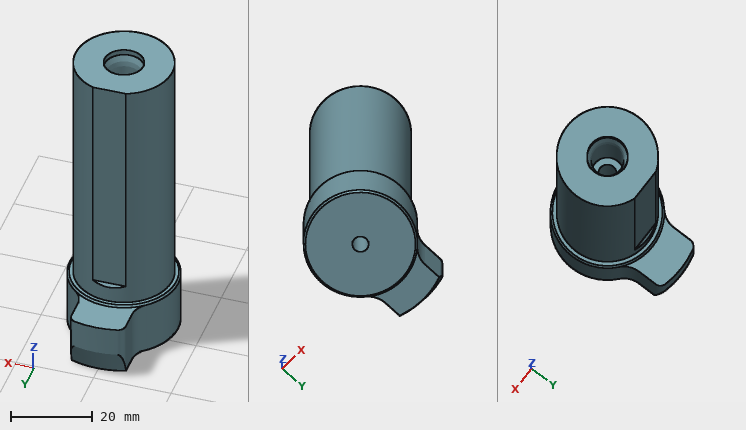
import cadquery as cq
import math

TOTAL_HEIGHT = 80.0
SHAFT_RADIUS = 25.0 / 2

COLLAR_RADIUS = 28.0 / 2
COLLAR_HEIGHT = 15.0
COLLAR_CHAMFER = 0.5

FLAT_Y = 11.75
FLAT_START_Z = 20.0

LUG_HALF_WIDTH = 7.0
LUG_TIP_RADIUS = 22.93
LUG_CORNER_RADIUS = 2.0
LUG_ROOT_RADIUS = 6.0
LUG_BOTTOM_Z = COLLAR_CHAMFER
LUG_TOP_Z = COLLAR_HEIGHT - COLLAR_CHAMFER
LUG_TAPER_TOP_Z = 6.8
LUG_TAPER_ANGLE = math.radians(15.0)

MOUTH_RADIUS = 10.0 / 2
MOUTH_DEPTH = 1.5
WIDE_CONE_END_RADIUS = 8.5 / 2
WIDE_CONE_END_DEPTH = 3.0
BORE_RADIUS = 8.0 / 2
BORE_START_DEPTH = 4.3
BORE_END_DEPTH = 20.0
GUIDE_RADIUS = 4.5 / 2
GUIDE_END_DEPTH = 40.0
THROUGH_RADIUS = 4.0 / 2


def make_collar():
    """Disc chamfered on both rims."""
    collar = cq.Workplane("XY").circle(COLLAR_RADIUS).extrude(COLLAR_HEIGHT)
    return collar.edges().chamfer(COLLAR_CHAMFER)


def make_shaft():
    """Round shaft with a flat that runs out at 45 degrees at its lower end."""
    shaft = cq.Workplane("XY").circle(SHAFT_RADIUS).extrude(TOTAL_HEIGHT)
    flat_depth = SHAFT_RADIUS - FLAT_Y
    flat_cutter = (
        cq.Workplane("YZ")
        .moveTo(FLAT_Y, TOTAL_HEIGHT)
        .lineTo(FLAT_Y, FLAT_START_Z)
        .lineTo(SHAFT_RADIUS, FLAT_START_Z - flat_depth)
        .lineTo(SHAFT_RADIUS, TOTAL_HEIGHT)
        .close()
        .extrude(SHAFT_RADIUS, both=True)
    )
    return shaft.cut(flat_cutter)


def point_on_ray(center, target, distance):
    """Point at a distance from center, in the direction of target."""
    dx = target[0] - center[0]
    dy = target[1] - center[1]
    scale = distance / math.hypot(dx, dy)
    return (center[0] + dx * scale, center[1] + dy * scale)


def arc_middle(center, start, end):
    """Middle of the shorter arc between two points about a center."""
    chord_middle = ((start[0] + end[0]) / 2, (start[1] + end[1]) / 2)
    radius = math.hypot(start[0] - center[0], start[1] - center[1])
    return point_on_ray(center, chord_middle, radius)


def mirrored(point):
    """Point on the opposite side of the YZ plane."""
    return (-point[0], point[1])


def make_lug_blank():
    """Prism with a rounded tip and root fillets tangent to the collar."""
    axis = (0.0, 0.0)
    root_x = LUG_HALF_WIDTH + LUG_ROOT_RADIUS
    root_y = math.sqrt((COLLAR_RADIUS + LUG_ROOT_RADIUS) ** 2 - root_x**2)
    root_center = (root_x, root_y)
    root_start = point_on_ray(axis, root_center, COLLAR_RADIUS)
    root_end = (LUG_HALF_WIDTH, root_y)
    root_middle = arc_middle(root_center, root_start, root_end)

    corner_x = LUG_HALF_WIDTH - LUG_CORNER_RADIUS
    corner_y = math.sqrt((LUG_TIP_RADIUS - LUG_CORNER_RADIUS) ** 2 - corner_x**2)
    corner_center = (corner_x, corner_y)
    corner_start = (LUG_HALF_WIDTH, corner_y)
    corner_end = point_on_ray(axis, corner_center, LUG_TIP_RADIUS)
    corner_middle = arc_middle(corner_center, corner_start, corner_end)

    outline = (
        cq.Workplane("XY", origin=(0, 0, LUG_BOTTOM_Z))
        .moveTo(*axis)
        .lineTo(*root_start)
        .threePointArc(root_middle, root_end)
        .lineTo(*corner_start)
        .threePointArc(corner_middle, corner_end)
        .threePointArc((0, LUG_TIP_RADIUS), mirrored(corner_end))
        .threePointArc(mirrored(corner_middle), mirrored(corner_start))
        .lineTo(*mirrored(root_end))
        .threePointArc(mirrored(root_middle), mirrored(root_start))
        .close()
    )
    return outline.extrude(LUG_TOP_Z - LUG_BOTTOM_Z)


def make_lug():
    """Lug whose tip narrows conically towards the bottom."""
    taper_height = LUG_TAPER_TOP_Z - LUG_BOTTOM_Z
    bottom_radius = LUG_TIP_RADIUS - taper_height * math.tan(LUG_TAPER_ANGLE)
    envelope = (
        cq.Workplane("XZ")
        .moveTo(0, LUG_BOTTOM_Z)
        .lineTo(bottom_radius, LUG_BOTTOM_Z)
        .lineTo(LUG_TIP_RADIUS, LUG_TAPER_TOP_Z)
        .lineTo(LUG_TIP_RADIUS, LUG_TOP_Z)
        .lineTo(0, LUG_TOP_Z)
        .close()
        .revolve(360, (0, 0, 0), (0, 1, 0))
    )
    return make_lug_blank().intersect(envelope)


def make_bore():
    """Solid of revolution to be removed, entered from the top."""
    bore_end_z = TOTAL_HEIGHT - BORE_END_DEPTH
    guide_end_z = TOTAL_HEIGHT - GUIDE_END_DEPTH
    return (
        cq.Workplane("XZ")
        .moveTo(0, TOTAL_HEIGHT)
        .lineTo(MOUTH_RADIUS, TOTAL_HEIGHT)
        .lineTo(MOUTH_RADIUS, TOTAL_HEIGHT - MOUTH_DEPTH)
        .lineTo(WIDE_CONE_END_RADIUS, TOTAL_HEIGHT - WIDE_CONE_END_DEPTH)
        .lineTo(BORE_RADIUS, TOTAL_HEIGHT - BORE_START_DEPTH)
        .lineTo(BORE_RADIUS, bore_end_z)
        .lineTo(GUIDE_RADIUS, bore_end_z)
        .lineTo(GUIDE_RADIUS, guide_end_z)
        .lineTo(THROUGH_RADIUS, guide_end_z)
        .lineTo(THROUGH_RADIUS, 0)
        .lineTo(0, 0)
        .close()
        .revolve(360, (0, 0, 0), (0, 1, 0))
    )


result = make_collar().union(make_shaft()).union(make_lug()).cut(make_bore())